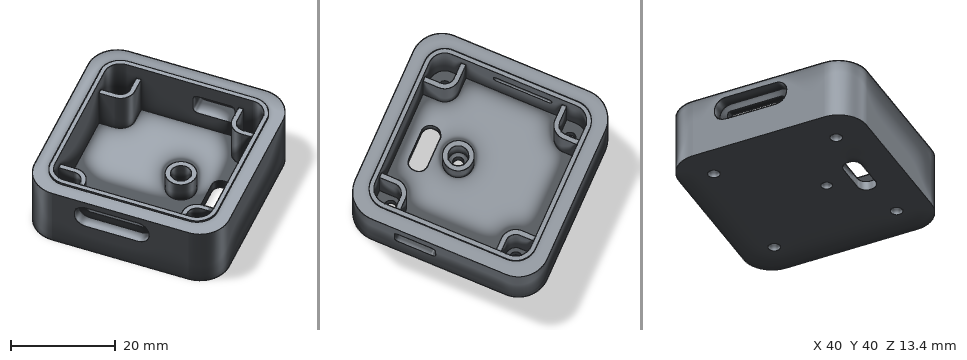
import cadquery as cq

side = 40.0
total_height = 13.4
body_corner_radius = 6.0

lip_height = 0.4
lip_side = 34.3
lip_corner_radius = 4.15
lip_thickness = 0.9

floor_thickness = 2.0
cavity_side = lip_side - 2 * lip_thickness
cavity_corner_radius = lip_corner_radius - lip_thickness
body_height = total_height - lip_height
wall_thickness = (side - cavity_side) / 2

screen_thickness = 1.0
screen_offset = 10.0
screen_radius = 3.0
screen_height = 8.4
screw_offset = 13.05
screw_diameter = 2.4

boss_x = 4.65
boss_y = -0.15
boss_diameter = 6.1
boss_bore_diameter = 4.0
boss_hole_diameter = 2.2
boss_height = 4.25

floor_slot_x = 11.7
floor_slot_y = boss_y
floor_slot_width = 3.9
floor_slot_length = 9.6
floor_slot_radius = 1.8

front_slot_x = -1.8
front_slot_z = 9.1
front_slot_length = 12.15
front_slot_height = 1.85
front_slot_radius = 0.75
recess_length = 15.35
recess_height = 5.1
recess_radius = 2.4
recess_depth = 2.4

back_slot_x = 4.95
back_slot_z = 7.9
back_slot_length = 8.55
back_slot_height = 4.55
back_slot_radius = 1.0


def rounded_block(length, width, height, radius, x=0.0, y=0.0, z=0.0):
    """Upright block with rounded vertical edges, standing on height z."""
    block = cq.Workplane("XY").box(length, width, height, centered=(True, True, False))
    return block.edges("|Z").fillet(radius).translate((x, y, z))


def cylinder(diameter, height, x, y, z=0.0):
    """Upright cylinder standing on height z."""
    return cq.Workplane("XY").circle(diameter / 2).extrude(height).translate((x, y, z))


def wall_slot(length, height, depth, radius, x, z, y_start):
    """Rounded cutter that runs from y_start toward +Y, centred on x and z."""
    block = cq.Workplane("XY").box(length, depth, height, centered=(True, False, True))
    return block.edges("|Y").fillet(radius).translate((x, y_start, z))


def corner_screen(x_sign, y_sign):
    """Thin rounded wall that fences off one corner of the cavity."""
    reach = cavity_side / 2
    outer_size = reach - screen_offset
    inner_size = outer_size - screen_thickness

    def corner_block(size, radius):
        centre = reach - size / 2
        block = cq.Workplane("XY").box(size, size, screen_height, centered=(True, True, False))
        block = block.translate((x_sign * centre, y_sign * centre, floor_thickness))
        inward_x = "<X" if x_sign > 0 else ">X"
        inward_y = "<Y" if y_sign > 0 else ">Y"
        return block.faces(inward_x).edges(inward_y).fillet(radius)

    outer = corner_block(outer_size, screen_radius)
    return outer.cut(corner_block(inner_size, screen_radius - screen_thickness))


result = rounded_block(side, side, body_height, body_corner_radius)
result = result.union(rounded_block(lip_side, lip_side, total_height, lip_corner_radius))
cavity_depth = total_height - floor_thickness
result = result.cut(
    rounded_block(cavity_side, cavity_side, cavity_depth, cavity_corner_radius, z=floor_thickness)
)

for x_sign in (-1, 1):
    for y_sign in (-1, 1):
        result = result.union(corner_screen(x_sign, y_sign))
        result = result.cut(
            cylinder(screw_diameter, floor_thickness, x_sign * screw_offset, y_sign * screw_offset)
        )

boss = cylinder(boss_diameter, boss_height, boss_x, boss_y, floor_thickness)
boss_bore = cylinder(boss_bore_diameter, boss_height, boss_x, boss_y, floor_thickness)
result = result.union(boss).cut(boss_bore)
result = result.cut(cylinder(boss_hole_diameter, floor_thickness, boss_x, boss_y))

result = result.cut(
    rounded_block(
        floor_slot_width, floor_slot_length, floor_thickness, floor_slot_radius,
        floor_slot_x, floor_slot_y,
    )
)

front_face = -side / 2
result = result.cut(
    wall_slot(
        front_slot_length, front_slot_height, wall_thickness, front_slot_radius,
        front_slot_x, front_slot_z, front_face,
    )
)
result = result.cut(
    wall_slot(
        recess_length, recess_height, recess_depth, recess_radius,
        front_slot_x, front_slot_z, front_face,
    )
)
result = result.cut(
    wall_slot(
        back_slot_length, back_slot_height, wall_thickness, back_slot_radius,
        back_slot_x, back_slot_z, cavity_side / 2,
    )
)